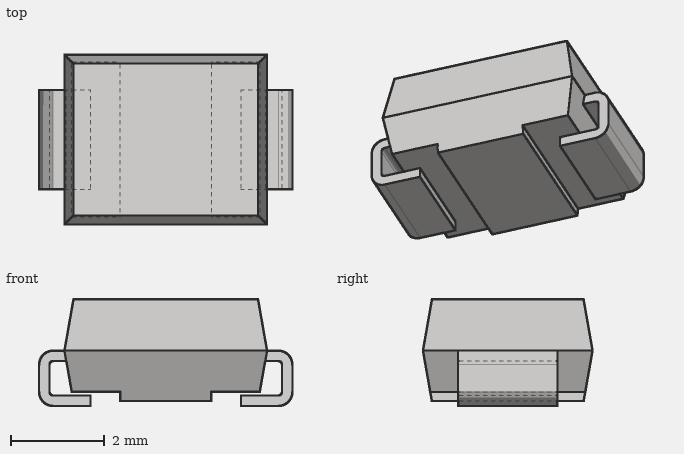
import cadquery as cq
import math

overall_length = 5.4
overall_height = 2.28

body_length = 4.32
body_width = 3.62
parting_height = 1.18
draft_angle = 10.0

body_underside = 0.3
pad_underside = 0.1
pad_length = 1.945

lead_width = 2.115
lead_thickness = 0.225
lead_outer_radius = 0.3
lead_inner_radius = lead_outer_radius - lead_thickness
foot_length = 1.1
lead_embedment = 0.27


def drafted_half(height):
    """Rectangular frustum shrinking from the parting plane; negative height goes down."""
    inset = abs(height) * math.tan(math.radians(draft_angle))
    return (
        cq.Workplane("XY", origin=(0, 0, parting_height))
        .rect(body_length, body_width)
        .workplane(offset=height)
        .rect(body_length - 2 * inset, body_width - 2 * inset)
        .loft(ruled=True, combine=True)
    )


def underside_relief(side):
    """Block that removes the body below its underside, outboard of the pad."""
    relief_length = (body_length - pad_length) / 2
    center_x = side * (pad_length + relief_length) / 2
    return (
        cq.Workplane("XY", origin=(center_x, 0, 0))
        .rect(relief_length, body_width)
        .extrude(body_underside)
    )


def make_left_lead():
    """Bent strip: buried top arm, upright with rounded bends, and a foot."""
    outer_x = -overall_length / 2
    inner_x = outer_x + lead_thickness
    buried_x = -body_length / 2 + lead_embedment
    foot_x = outer_x + foot_length
    bend = lead_outer_radius

    def bend_tangent_points(x, bottom, top, radius):
        return (x + radius, bottom), (x, bottom + radius), (x, top - radius), (x + radius, top)

    outer = bend_tangent_points(outer_x, 0, parting_height, bend)
    inner = bend_tangent_points(
        inner_x, lead_thickness, parting_height - lead_thickness, lead_inner_radius
    )
    return (
        cq.Workplane("XZ")
        .moveTo(foot_x, 0)
        .lineTo(*outer[0])
        .radiusArc(outer[1], bend)
        .lineTo(*outer[2])
        .radiusArc(outer[3], bend)
        .lineTo(buried_x, parting_height)
        .lineTo(buried_x, parting_height - lead_thickness)
        .lineTo(*inner[3])
        .radiusArc(inner[2], -lead_inner_radius)
        .lineTo(*inner[1])
        .radiusArc(inner[0], -lead_inner_radius)
        .lineTo(foot_x, lead_thickness)
        .close()
        .extrude(lead_width / 2, both=True)
    )


body = drafted_half(overall_height - parting_height)
body = body.union(drafted_half(pad_underside - parting_height))
for side in (-1, 1):
    body = body.cut(underside_relief(side))

left_lead = make_left_lead()
right_lead = left_lead.mirror("YZ")
result = body.union(left_lead).union(right_lead)